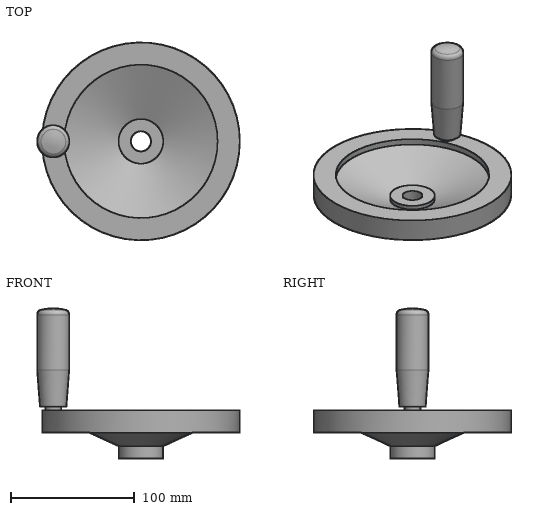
import cadquery as cq

overall_length = 164

wheel_radius = 80.0
rim_inner_radius = 62.0
rim_height = 18.0
rim_bottom_z = 21.0
rim_top_z = rim_bottom_z + rim_height
rim_lip_depth = 5.0

hub_radius = 18.0
hub_height = 20.0
hub_step_above_web = 3.3
bore_radius = 8.0
web_bottom_z = 10.0
web_bottom_outer_radius = 42.0

handle_diameter = 26.0
handle_radius = handle_diameter / 2
handle_offset = overall_length - wheel_radius - handle_radius
handle_height = 82.5
neck_radius = 6.5
neck_height = 2.6
grip_base_radius = 10.8
grip_base_edge = 1.0
taper_height = 29.0
dome_radius = 10.0
dome_rise = 1.3
shoulder_height = 4.0


def make_wheel():
    """Revolve the rim, dished web and hub, including the bore."""
    profile = (
        cq.Workplane("XZ")
        .moveTo(bore_radius, 0)
        .lineTo(hub_radius, 0)
        .lineTo(hub_radius, web_bottom_z)
        .lineTo(web_bottom_outer_radius, rim_bottom_z)
        .lineTo(wheel_radius, rim_bottom_z)
        .lineTo(wheel_radius, rim_top_z)
        .lineTo(rim_inner_radius, rim_top_z)
        .lineTo(rim_inner_radius, rim_top_z - rim_lip_depth)
        .lineTo(hub_radius, hub_height - hub_step_above_web)
        .lineTo(hub_radius, hub_height)
        .lineTo(bore_radius, hub_height)
        .close()
    )
    return profile.revolve(360, (0, 0, 0), (0, 1, 0))


def make_handle():
    """Revolve the neck, tapered grip and domed end about the handle axis."""
    taper_bottom = neck_height + grip_base_edge
    taper_top = taper_bottom + taper_height
    shoulder_top = handle_height - dome_rise
    shoulder_bottom = shoulder_top - shoulder_height
    dome_sphere_radius = (dome_radius**2 + dome_rise**2) / (2 * dome_rise)
    profile = (
        cq.Workplane("XZ")
        .lineTo(neck_radius, 0)
        .lineTo(neck_radius, neck_height)
        .lineTo(grip_base_radius - grip_base_edge, neck_height)
        .radiusArc((grip_base_radius, taper_bottom), -grip_base_edge)
        .lineTo(handle_radius, taper_top)
        .lineTo(handle_radius, shoulder_bottom)
        .tangentArcPoint((dome_radius, shoulder_top), relative=False)
        .radiusArc((0, handle_height), -dome_sphere_radius)
        .close()
    )
    handle = profile.revolve(360, (0, 0, 0), (0, 1, 0))
    return handle.translate((-handle_offset, 0, rim_top_z))


result = make_wheel().union(make_handle())